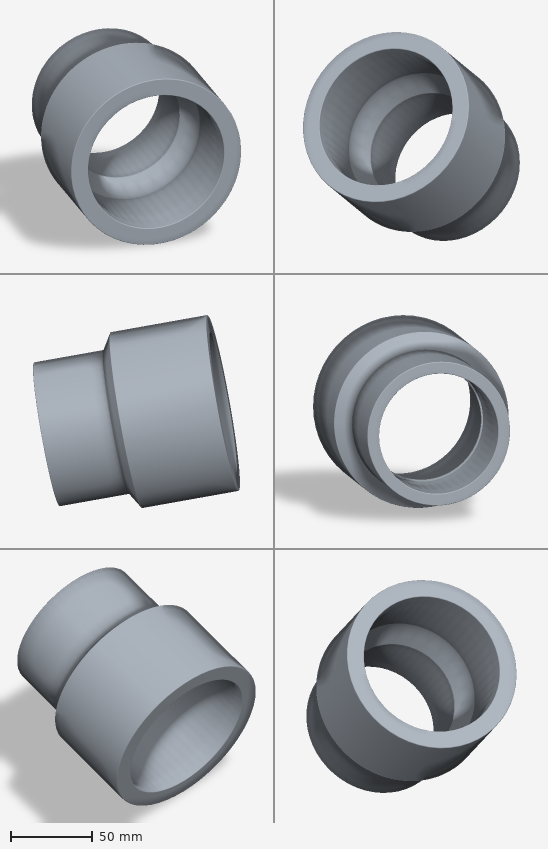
import cadquery as cq

total_length = 110.7
spigot_diameter = 90.0
spigot_bore_diameter = 75.0
throat_diameter = 73.0
socket_diameter = 110.0
socket_bore_diameter = 88.0

spigot_length = 43.8
shoulder_length = 6.2
throat_length = 1.1
inner_cone_length = 16.6
edge_radius = 0.5

shoulder_end = spigot_length + shoulder_length
throat_end = spigot_length + throat_length
inner_cone_end = throat_end + inner_cone_length


def revolved(stations):
    """Solid of revolution through (x, diameter) stations along the X axis."""
    rim = [(x, diameter / 2) for x, diameter in stations]
    outline = [(rim[0][0], 0)] + rim + [(rim[-1][0], 0)]
    return cq.Workplane("XY").polyline(outline).close().revolve(360, (0, 0, 0), (1, 0, 0))


body = revolved([
    (0, spigot_diameter),
    (spigot_length, spigot_diameter),
    (shoulder_end, socket_diameter),
    (total_length, socket_diameter),
])
body = body.edges("%CIRCLE").fillet(edge_radius)

bore = revolved([
    (0, spigot_bore_diameter),
    (spigot_length, spigot_bore_diameter),
    (spigot_length, throat_diameter),
    (throat_end, throat_diameter),
    (inner_cone_end, socket_bore_diameter),
    (total_length, socket_bore_diameter),
])
body = body.cut(bore)

for end in ("<X", ">X"):
    body = body.faces(end).edges(cq.selectors.RadiusNthSelector(0)).fillet(edge_radius)

result = body